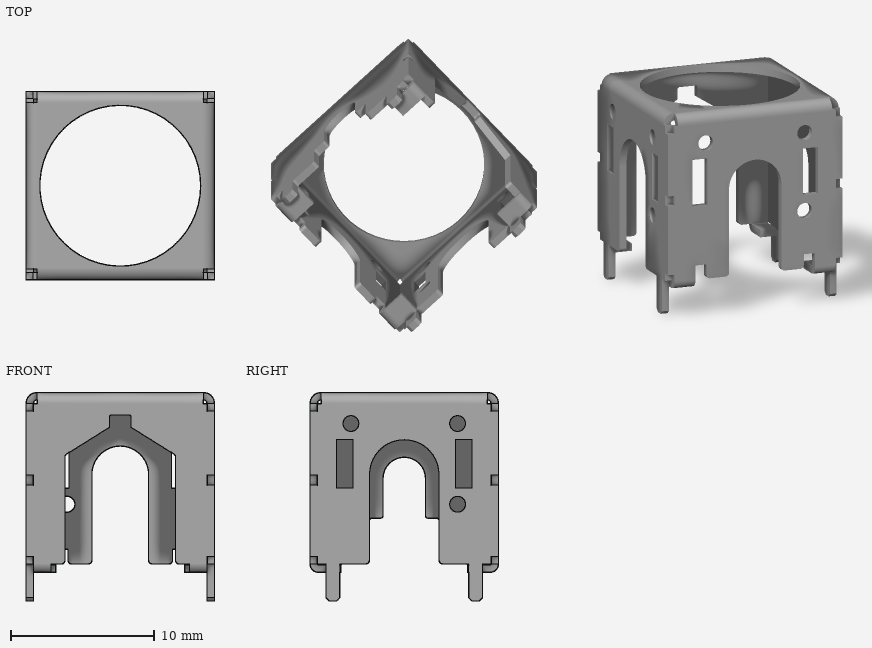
import cadquery as cq
import math


width = 13.15
height = 14.55
sheet = 0.525
bend_inner_radius = 0.25
bend_outer_radius = bend_inner_radius + sheet
half_width = width / 2
half_inside = half_width - sheet
half_plate = half_width - bend_outer_radius
wall_top = height - bend_outer_radius
wall_bottom = 2.58
corner_overlap = 0.02
top_opening_diameter = 11.2

post_inset = sheet
post_gap_bottom = 8.08
post_gap_top = 8.79

pin_offset = 4.98
pin_width = 0.98
pin_tip_chamfer = 0.23
pin_root_radius = 0.2

foot_bend_inner_radius = 0.06
foot_bend_outer_radius = foot_bend_inner_radius + sheet
foot_reach = 2.15
front_foot_end = 4.83
back_foot_end = 4.49

edge_radius = 0.25
step_radius = 0.2
eave_half_width = 3.845
eave_height = 10.18
gable_half_width = 0.75
gable_height = 12.12
notch_top = 12.98
notch_radius = 0.15
left_arch_half_width = 1.47
left_arch_top = 10.02
left_step_half_width = 2.455
left_step_height = 5.77
right_arch_half_width = 2.42
right_arch_top = 11.25
back_arch_half_width = 1.97
back_arch_top = 10.8

slot_offset = 4.16
slot_width = 1.14
slot_bottom = 7.88
slot_top = 11.25
hole_diameter = 1.1
hole_offset = 3.72
upper_hole_height = 12.38
lower_hole_height = 6.75

relief_start = 3.65
relief_top = 3.61

FRONT = 0
RIGHT = 90
BACK = 180
LEFT = 270


def place(body, side):
    """Turn a body from the front wall position to the given side."""
    return body.rotate((0, 0, 0), (0, 0, 1), side)


def wall_plane():
    """Sketch plane on the inner wall face; extruding by the sheet reaches the outer face."""
    return cq.Workplane("XZ", origin=(0, -half_inside, 0))


def rectangle(left, right, bottom, top):
    outline = wall_plane().moveTo(left, bottom).lineTo(right, bottom).lineTo(right, top)
    return outline.lineTo(left, top).close().extrude(sheet)


def fillet_at(body, points, radius):
    """Round the thickness edges that stand at the given (x, z) points of a wall."""
    reach = 0.01
    for x, z in points:
        corner = cq.selectors.BoxSelector(
            (x - reach, -half_width - reach, z - reach),
            (x + reach, -half_inside + reach, z + reach),
        )
        body = body.edges("|Y").edges(corner).fillet(radius)
    return body


def mirrored(*points):
    """Repeat (x, z) points on both sides of the wall centre line."""
    return [(sign * x, z) for x, z in points for sign in (-1, 1)]


def blank_wall():
    half_length = half_inside + corner_overlap
    return rectangle(-half_length, half_length, wall_bottom, wall_top)


def arch(half_span, crown):
    """Round-topped opening that runs out through the lower wall edge."""
    spring = crown - half_span
    outline = wall_plane().moveTo(-half_span, wall_bottom).lineTo(-half_span, spring)
    outline = outline.threePointArc((0, crown), (half_span, spring))
    return outline.lineTo(half_span, wall_bottom).close().extrude(sheet)


def slots_and_holes():
    """Two slots, two upper holes and a single lower hole."""
    half_slot = slot_width / 2
    centres = mirrored((hole_offset, upper_hole_height)) + [(hole_offset, lower_hole_height)]
    cut = wall_plane().pushPoints(centres).circle(hole_diameter / 2).extrude(sheet)
    for centre in (-slot_offset, slot_offset):
        cut = cut.union(rectangle(centre - half_slot, centre + half_slot, slot_bottom, slot_top))
    return cut


def bend_middle(radius):
    """Point (y, z) halfway round a foot bend of the given radius."""
    leg = radius * math.sqrt(0.5)
    return -half_width + foot_bend_outer_radius - leg, wall_bottom - leg


def foot(end):
    """Foot from the wall corner to the given distance from the centre, bent inward."""
    bend_end = -half_width + foot_bend_outer_radius
    bottom = wall_bottom - foot_bend_outer_radius
    tip = -half_width + foot_reach
    section = cq.Workplane("YZ", origin=(end, 0, 0)).moveTo(-half_width, wall_bottom)
    section = section.threePointArc(bend_middle(foot_bend_outer_radius), (bend_end, bottom))
    section = section.lineTo(tip, bottom).lineTo(tip, bottom + sheet).lineTo(bend_end, bottom + sheet)
    section = section.threePointArc(bend_middle(foot_bend_inner_radius), (-half_inside, wall_bottom))
    right_foot = section.close().extrude(half_inside - end)
    return right_foot.union(right_foot.mirror("YZ"))


def add_pins(wall):
    half_pin = pin_width / 2
    for centre in (-pin_offset, pin_offset):
        pin = rectangle(centre - half_pin, centre + half_pin, 0, wall_bottom)
        wall = wall.union(pin.faces("<Z").edges("|Y").chamfer(pin_tip_chamfer))
    return wall


def round_pin_roots(wall):
    half_pin = pin_width / 2
    roots = mirrored((pin_offset - half_pin, wall_bottom), (pin_offset + half_pin, wall_bottom))
    return fillet_at(wall, roots, pin_root_radius)


def front_wall():
    outline = wall_plane().moveTo(-eave_half_width, wall_bottom).lineTo(-eave_half_width, eave_height)
    outline = outline.lineTo(-gable_half_width, gable_height).lineTo(-gable_half_width, notch_top)
    outline = outline.lineTo(gable_half_width, notch_top).lineTo(gable_half_width, gable_height)
    outline = outline.lineTo(eave_half_width, eave_height).lineTo(eave_half_width, wall_bottom)
    wall = blank_wall().cut(outline.close().extrude(sheet))
    wall = fillet_at(wall, mirrored((eave_half_width, wall_bottom)), edge_radius)
    wall = fillet_at(wall, mirrored((eave_half_width, eave_height)), step_radius)
    wall = fillet_at(wall, mirrored((gable_half_width, notch_top)), notch_radius)
    return wall.union(foot(front_foot_end))


def back_wall():
    wall = blank_wall().cut(arch(back_arch_half_width, back_arch_top)).cut(slots_and_holes())
    wall = wall.cut(rectangle(relief_start, back_foot_end, wall_bottom, relief_top))
    wall = wall.cut(rectangle(-back_foot_end, -relief_start, wall_bottom, relief_top))
    leg_ends = mirrored((back_arch_half_width, wall_bottom), (relief_start, wall_bottom))
    return fillet_at(wall, leg_ends, edge_radius).union(foot(back_foot_end))


def left_wall():
    step = rectangle(-left_step_half_width, left_step_half_width, wall_bottom, left_step_height)
    wall = blank_wall().cut(arch(left_arch_half_width, left_arch_top)).cut(step)
    steps = mirrored((left_arch_half_width, left_step_height), (left_step_half_width, left_step_height))
    wall = fillet_at(wall, steps, step_radius)
    wall = fillet_at(wall, mirrored((left_step_half_width, wall_bottom)), edge_radius)
    return round_pin_roots(add_pins(wall))


def right_wall():
    wall = blank_wall().cut(arch(right_arch_half_width, right_arch_top)).cut(slots_and_holes())
    wall = fillet_at(wall, mirrored((right_arch_half_width, wall_bottom)), edge_radius)
    return add_pins(wall)


def top_plate():
    side = 2 * half_plate
    plate = cq.Workplane("XY", origin=(0, 0, height - sheet)).rect(side, side)
    return plate.circle(top_opening_diameter / 2).extrude(sheet)


def top_bend():
    """Quarter-round bend between the plate and one wall."""
    axis = cq.Workplane("YZ", origin=(-half_plate, -half_plate, wall_top))
    ring = axis.circle(bend_outer_radius).circle(bend_inner_radius).extrude(2 * half_plate)
    quarter = axis.rect(-bend_outer_radius, bend_outer_radius, centered=False).extrude(2 * half_plate)
    return ring.intersect(quarter)


def corner_post(bottom, top):
    corner = cq.Workplane("XY", origin=(half_inside, -half_width, bottom))
    return corner.rect(sheet, sheet, centered=False).extrude(top - bottom)


walls = ((FRONT, front_wall()), (RIGHT, right_wall()), (BACK, back_wall()), (LEFT, left_wall()))
lower_post = corner_post(wall_bottom + post_inset, post_gap_bottom)
upper_post = corner_post(post_gap_top, wall_top - post_inset)

result = top_plate()
for side, wall in walls:
    for piece in (wall, top_bend(), lower_post, upper_post):
        result = result.union(place(piece, side))